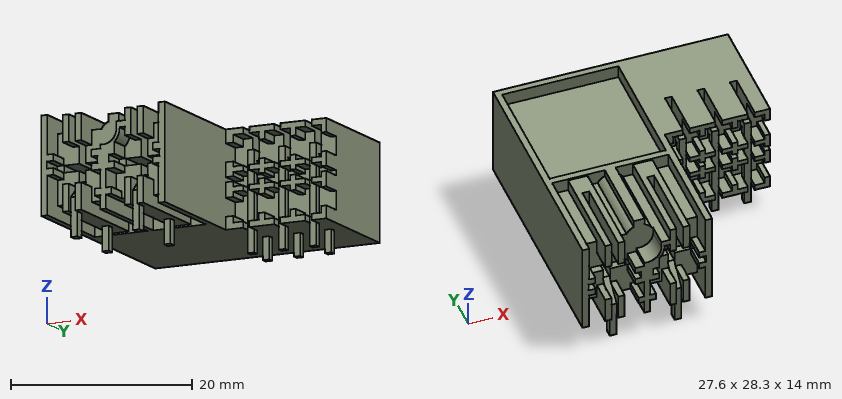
import cadquery as cq
import math

total_width = 27.65
total_depth = 28.3
total_height = 14.0
pin_length = 2.63
height = total_height - pin_length
wall = 0.8
power_width = 15.25
signal_front = 15
recess_depth = 2.6

step_height = 1.6
pocket_front = 12.5
cavity_back = pocket_front - wall
core_bottom = step_height
core_top = height - step_height
center_x = power_width / 2
pole_xs = (power_width / 4, 3 * power_width / 4)
post_width = 2.3
post_height = 3.1
post_inset = 0.2
slot_width = 0.8
slot_back = 9.2
cross_slot_width = 4.47
cross_slot_height = 0.82
cross_slot_back = 6.74
guide_height = 2.35
guide_width = 0.74
groove_bite = 0.08
mid_z = height / 2
web_half_width = 1.42
web_groove_half_width = 0.7
divider_width = 0.68
foot_width = 2.07
foot_height = 0.8
guide_bottom = mid_z - guide_height / 2
guide_top = mid_z + guide_height / 2
cross_slot_bottom = mid_z - cross_slot_height / 2
cross_slot_top = mid_z + cross_slot_height / 2

key_radius = 1.7
key_stem_width = 1.27
sleeve_z = 8.95
sleeve_inner_radius = 1.65
sleeve_thickness = 0.4
sleeve_arm_height = 0.7

contact_front = 0.55
contact_ramp_end = 2.83
contact_tip_z = 1.87
contact_top_z = 4.05
front_leg_depth = 1.05
rear_leg_depth = 0.95

signal_recess_depth = 2.43
signal_recess_back = signal_front + signal_recess_depth
signal_count = 3
signal_pitch = 3.82
signal_first_x = 17.8
signal_slot_back = 20.7
signal_leg_front = 16.13
signal_leg_depth = 0.8
signal_contact_top = 9.03
signal_bridge_height = 1.13
rib_width = 0.68
bottom_shelf = (0, 0.7, 0, 0.75)
lower_shelf = (4.22, 4.8, 0.6, 0.57)
upper_shelf = (6.45, 7.08, 0.48, 0.57)
top_shelf = (10.67, height, 0.88, 0)


def block(x0, x1, y0, y1, z0, z1):
    """Axis-aligned block between opposite corners."""
    return cq.Workplane("XY").box(x1 - x0, y1 - y0, z1 - z0, centered=False).translate((x0, y0, z0))


def centered_block(x, width, y0, y1, z0, z1):
    """Block centered on x."""
    return block(x - width / 2, x + width / 2, y0, y1, z0, z1)


def front_profile(y):
    """Sketch plane at depth y with local axes X and Z; extrusion by a negative length goes to the rear."""
    return cq.Workplane("XZ", origin=(0, y, 0))


def make_shell():
    """L-shaped housing with the top pocket and the set-backs of the power section."""
    body = block(0, power_width, 0, total_depth, 0, height)
    body = body.union(block(power_width, total_width, signal_front, total_depth, 0, height))
    inner_right = power_width - wall
    body = body.cut(block(wall, inner_right, pocket_front, total_depth - wall, core_top, height))
    body = body.cut(block(wall, inner_right, 0, recess_depth, 0, height))
    for z0, z1 in ((0, core_bottom), (core_top, height)):
        body = body.cut(block(wall, inner_right, 0, cavity_back, z0, z1))
    return body


def make_posts():
    """Upper and lower post of each pole."""
    lower_bottom = post_inset
    upper_bottom = height - post_inset - post_height
    posts = cq.Workplane("XY")
    for x in pole_xs:
        for z in (lower_bottom, upper_bottom):
            posts = posts.add(centered_block(x, post_width, 0, cavity_back, z, z + post_height))
    return posts.combine()


def make_wall_guide():
    """Rail on the left wall and the groove that splits it and bites into the wall."""
    left = block(0, wall + guide_width, 0, recess_depth, guide_bottom, guide_top)
    groove = block(
        wall - groove_bite, wall + guide_width, 0, recess_depth, cross_slot_bottom, cross_slot_top
    )
    return left, groove


def mirrored(shape):
    """Copy of a shape on the other side of the power section."""
    return shape.mirror("YZ", (center_x, 0, 0))


def make_center_web():
    """Divider between the poles with its foot and grooved rails."""
    divider = centered_block(center_x, divider_width, 0, cavity_back, 0, guide_bottom)
    foot = centered_block(
        center_x, foot_width, 0, recess_depth, core_bottom, core_bottom + foot_height
    )
    web = centered_block(center_x, 2 * web_half_width, 0, recess_depth, guide_bottom, guide_top)
    groove = block(
        center_x - web_half_width, center_x - web_groove_half_width,
        0, recess_depth, cross_slot_bottom, cross_slot_top,
    )
    web = web.cut(groove).cut(mirrored(groove))
    return divider.union(foot).union(web)


def make_sleeve():
    """Curved shell that rises from the center web and joins the right upper post."""
    outer_radius = sleeve_inner_radius + sleeve_thickness
    left_x = center_x - divider_width / 2
    right_x = center_x + web_half_width
    arm_end = pole_xs[1] - post_width / 2
    diagonal = math.sqrt(0.5)
    arc_end_z = sleeve_z - math.sqrt(sleeve_inner_radius**2 - (center_x - left_x) ** 2)
    outer_end_z = sleeve_z - math.sqrt(outer_radius**2 - web_half_width**2)
    outer_angle = math.atan2(outer_end_z - sleeve_z, web_half_width) / 2
    arm_bottom = core_top - sleeve_arm_height
    return (
        front_profile(0)
        .moveTo(left_x, guide_top)
        .lineTo(left_x, arc_end_z)
        .threePointArc(
            (center_x + sleeve_inner_radius * diagonal, sleeve_z - sleeve_inner_radius * diagonal),
            (center_x + sleeve_inner_radius, sleeve_z),
        )
        .lineTo(center_x + sleeve_inner_radius, core_top)
        .lineTo(arm_end, core_top)
        .lineTo(arm_end, arm_bottom)
        .lineTo(center_x + outer_radius, arm_bottom)
        .lineTo(center_x + outer_radius, sleeve_z)
        .threePointArc(
            (
                center_x + outer_radius * math.cos(outer_angle),
                sleeve_z + outer_radius * math.sin(outer_angle),
            ),
            (right_x, outer_end_z),
        )
        .lineTo(right_x, guide_top)
        .close()
        .extrude(-recess_depth)
    )


def make_key():
    """Round key head on the core with a stem up to the housing top."""
    length = cavity_back - recess_depth
    head = front_profile(recess_depth).center(center_x, sleeve_z).circle(key_radius).extrude(-length)
    stem = centered_block(center_x, key_stem_width, recess_depth, cavity_back, core_top, height)
    return head.union(stem)


def make_pole_slot(x):
    """Cross-shaped opening around one power contact."""
    lower = centered_block(x, slot_width, 0, cross_slot_back, 0, cross_slot_top)
    upper = centered_block(x, slot_width, 0, slot_back, cross_slot_top, height)
    left_arm = block(
        x - cross_slot_width / 2, x, recess_depth, cross_slot_back, cross_slot_bottom, cross_slot_top
    )
    right_arm = block(
        x + slot_width / 2, x + cross_slot_width / 2,
        recess_depth, slot_back, cross_slot_bottom, cross_slot_top,
    )
    return lower.union(upper).union(left_arm).union(right_arm)


def make_power_contact(x):
    """Ramped contact blade with a front and a rear solder leg."""
    blade = (
        cq.Workplane("YZ", origin=(x - slot_width / 2, 0, 0))
        .moveTo(contact_front, post_inset)
        .lineTo(contact_front, contact_tip_z)
        .lineTo(contact_ramp_end, contact_top_z)
        .lineTo(slot_back, contact_top_z)
        .lineTo(slot_back, post_inset)
        .close()
        .extrude(slot_width)
    )
    front_leg_back = contact_front + front_leg_depth
    rear_leg_front = slot_back - rear_leg_depth
    front_leg = centered_block(
        x, slot_width, contact_front, front_leg_back, -pin_length, contact_tip_z
    )
    rear_leg = centered_block(x, slot_width, rear_leg_front, slot_back, -pin_length, contact_tip_z)
    return blade.union(front_leg).union(rear_leg)


def make_signal_shelves():
    """Ribbed shelves that split the front recess of the signal section."""
    back = signal_recess_back
    shelves = cq.Workplane("XY")
    rib_xs = [signal_first_x + (i - 0.5) * signal_pitch for i in range(signal_count + 1)]
    for bottom, top, rib_below, rib_above in (bottom_shelf, lower_shelf, upper_shelf, top_shelf):
        shelves = shelves.add(block(power_width, total_width, signal_front, back, bottom, top))
        for x in rib_xs:
            left = x - rib_width / 2
            if x == rib_xs[0]:
                left = power_width
            right = min(x + rib_width / 2, total_width)
            rib = block(left, right, signal_front, back, bottom - rib_below, top + rib_above)
            shelves = shelves.add(rib)
    return shelves.combine()


def make_signal_slot(x):
    """Slot through all shelves at the front, reaching deeper above the upper shelf."""
    leg_back = signal_leg_front + signal_leg_depth
    front = centered_block(x, slot_width, signal_front, leg_back, 0, height)
    rear = centered_block(x, slot_width, signal_front, signal_slot_back, upper_shelf[1], height)
    return front.union(rear)


def make_signal_contact(x):
    """Bridge-shaped contact with a front and a rear solder leg."""
    bridge_bottom = signal_contact_top - signal_bridge_height
    contact = centered_block(
        x, slot_width, signal_leg_front, signal_slot_back, bridge_bottom, signal_contact_top
    )
    for y in (signal_leg_front, signal_slot_back - signal_leg_depth):
        leg = centered_block(
            x, slot_width, y, y + signal_leg_depth, -pin_length, signal_contact_top
        )
        contact = contact.union(leg)
    return contact


result = make_shell()
guide, guide_groove = make_wall_guide()
result = result.union(guide).union(mirrored(guide))
result = result.cut(guide_groove).cut(mirrored(guide_groove))
for feature in (make_posts(), make_center_web(), make_sleeve(), make_key()):
    result = result.union(feature)
for pole_x in pole_xs:
    result = result.cut(make_pole_slot(pole_x)).union(make_power_contact(pole_x))

signal_recess = block(
    power_width, total_width, signal_front, signal_recess_back, 0, height
)
result = result.cut(signal_recess).union(make_signal_shelves())
for contact_index in range(signal_count):
    signal_x = signal_first_x + contact_index * signal_pitch
    result = result.cut(make_signal_slot(signal_x)).union(make_signal_contact(signal_x))